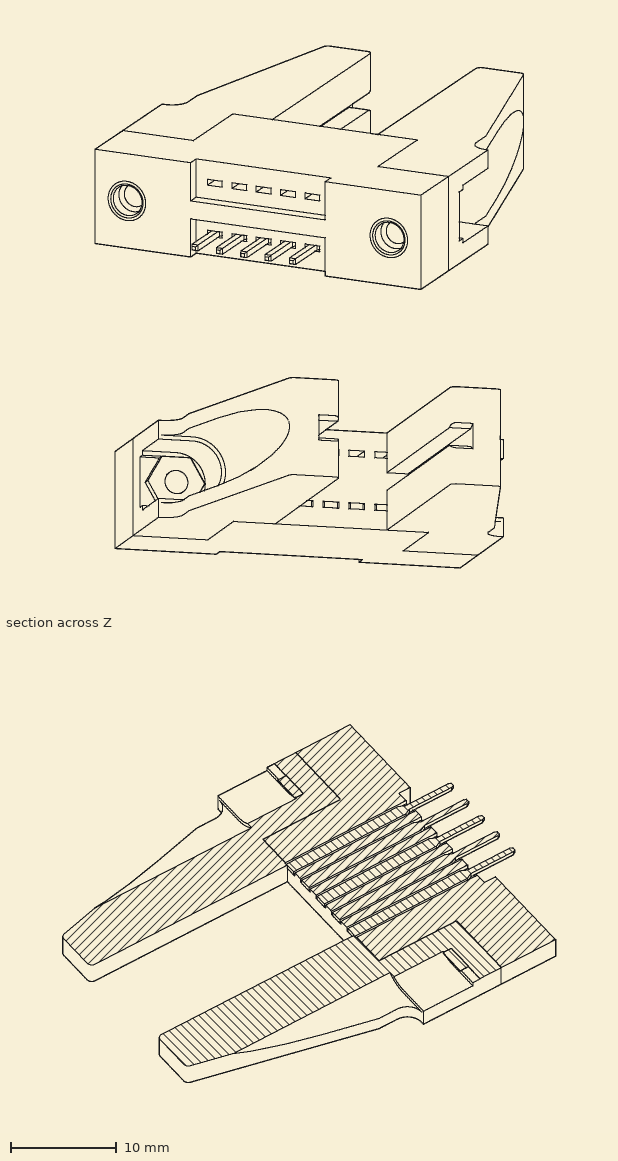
import cadquery as cq
import math


width = 33.95
height = 9.4
total_length = 41.6
pin_length = 3.5
guide_tip = total_length - pin_length
outer_x = width / 2

base_depth = 6.3
shoulder = 15.3
stem_half = 9.6
recess_width = 14.0
recess_depth = 1.3
bar_height = 1.8

contact_count = 5
pitch = 2.55
row_offset = 2.55
slot_width = 1.55
slot_height = 0.6
pin_width = 0.62
pin_tip_length = 0.3
pin_tip_inset = 0.12
taper_setback = 0.4
taper_length = 0.62
blade_width = 1.25

arm_inner = 5.5
arm_outer = 15.0
taper_start = 19.1
tip_outer = 10.3
root_radius = 1.65
tip_radius = 0.55
groove_height = 1.7
groove_depth = 2.08
flare_length = 0.75
flare_height = 0.37

screw_x = 13.65
scoop_width = 6.53
nut_clearance_width = 5.75
clearance_floor = 9.6
nut_flats = 4.85
nut_thickness = 0.95
nut_seat = 8.77
sleeve_diameter = 3.9
bore_diameter = 2.25
counterbore_diameter = 3.0
mouth_diameter = 3.35
mouth_depth = 0.15
counterbore_depth = 1.45
neck_length = 0.4

nut_corners = nut_flats / math.cos(math.pi / 6)


def box(x_range, y_range, z_range):
    """Box between two X, two Y and two Z limits, each pair in any order."""
    spans = [sorted(limits) for limits in (x_range, y_range, z_range)]
    sizes = [high - low for low, high in spans]
    corner = [low for low, high in spans]
    return cq.Workplane("XY").box(*sizes, centered=False).translate(tuple(corner))


def section_at(y, x=0, z=0):
    """Sketch plane facing +Y, with local X along the part's Z and local Y along its X."""
    return cq.Workplane(cq.Plane(origin=(x, y, z), xDir=(0, 0, 1), normal=(0, 1, 0)))


def cylinder(x, y_start, y_end, diameter):
    return section_at(y_start, x).circle(diameter / 2).extrude(y_end - y_start)


def cone(x, y_start, y_end, start_diameter, end_diameter):
    return (
        section_at(y_start, x).circle(start_diameter / 2)
        .workplane(offset=y_end - y_start).circle(end_diameter / 2)
        .loft(ruled=True)
    )


def hexagon(x, y_start, y_end):
    """Hexagonal prism with two flats level and two corners pointing along X."""
    corner_plane = section_at(y_start, x).transformed(rotate=(0, 0, 90))
    return corner_plane.polygon(6, nut_corners).extrude(y_end - y_start)


contact_positions = [(i - (contact_count - 1) / 2) * pitch for i in range(contact_count)]


def make_housing():
    half_height = height / 2
    full_height = (-half_height, half_height)
    body = box((-outer_x, outer_x), (0, base_depth), full_height)
    body = body.union(box((-stem_half, stem_half), (base_depth, shoulder), full_height))

    for level in (-1, 1):
        recess_x = (-recess_width / 2, recess_width / 2)
        body = body.cut(box(recess_x, (0, recess_depth), (level * bar_height / 2, level * half_height)))
        for x in contact_positions:
            slot = section_at(recess_depth, x, level * row_offset).rect(slot_height, slot_width)
            body = body.cut(slot.extrude(shoulder - recess_depth))

    for side in (-1, 1):
        body = body.cut(cylinder(side * screw_x, 0, base_depth, sleeve_diameter))
    return body


def make_guide(side):
    """Guide on the -X (side = -1) or +X (side = 1) end of the housing."""
    half_height = height / 2

    round_center_x = arm_outer + root_radius
    round_center_y = shoulder + root_radius
    diagonal = root_radius * math.sqrt(0.5)
    arm = (
        cq.Workplane("XY").workplane(offset=-half_height)
        .moveTo(side * arm_inner, shoulder)
        .lineTo(side * arm_inner, guide_tip)
        .lineTo(side * tip_outer, guide_tip)
        .lineTo(side * arm_outer, taper_start)
        .lineTo(side * arm_outer, round_center_y)
        .threePointArc(
            (side * (round_center_x - diagonal), round_center_y - diagonal),
            (side * round_center_x, shoulder),
        )
        .close().extrude(height)
        .edges("|Z and >Y").fillet(tip_radius)
    )
    foot = box((side * stem_half, side * outer_x), (base_depth, shoulder), (-half_height, half_height))
    body = arm.union(foot)

    half_groove = groove_height / 2
    flared = half_groove + flare_height
    flare_start = guide_tip - flare_length
    groove = (
        cq.Workplane("YZ").workplane(offset=side * arm_inner)
        .polyline([
            (shoulder, -half_groove), (flare_start, -half_groove), (guide_tip, -flared),
            (guide_tip, flared), (flare_start, half_groove), (shoulder, half_groove),
        ])
        .close().extrude(side * groove_depth)
    )
    body = body.cut(groove)

    x = side * screw_x
    for channel_width, y_start, y_end in (
        (scoop_width, shoulder, guide_tip),
        (nut_clearance_width, clearance_floor, shoulder),
    ):
        radius = channel_width / 2
        body = body.cut(cylinder(x, y_start, y_end, channel_width))
        body = body.cut(box((x, side * outer_x), (y_start, y_end), (-radius, radius)))

    half_flats = nut_flats / 2
    body = body.cut(hexagon(x, nut_seat, clearance_floor))
    body = body.cut(box((x, side * outer_x), (nut_seat, clearance_floor), (-half_flats, half_flats)))
    return body.cut(cylinder(x, base_depth, nut_seat, sleeve_diameter))


def make_insert(side):
    """Hex-headed sleeve, flush with the mounting face, with a chamfered counterbore."""
    x = side * screw_x
    head_top = nut_seat + nut_thickness
    body = cylinder(x, 0, nut_seat, sleeve_diameter).union(hexagon(x, nut_seat, head_top))
    body = body.cut(cylinder(x, 0, head_top, bore_diameter))
    body = body.cut(cylinder(x, 0, counterbore_depth, counterbore_diameter))
    body = body.cut(cone(x, 0, mouth_depth, mouth_diameter, counterbore_diameter))
    neck_end = counterbore_depth + neck_length
    return body.cut(cone(x, counterbore_depth, neck_end, counterbore_diameter, bore_diameter))


def make_contact(x):
    """Straight pin that widens inside its slot into a flat blade as thick as the slot."""
    taper_front = recess_depth + taper_setback
    blade_front = taper_front + taper_length
    half_pin = pin_width / 2
    half_blade = blade_width / 2

    shank_front = pin_tip_length - pin_length
    end_width = pin_width - 2 * pin_tip_inset
    end_height = slot_height - 2 * pin_tip_inset
    tip = (
        section_at(-pin_length, x, -row_offset).rect(end_height, end_width)
        .workplane(offset=pin_tip_length).rect(slot_height, pin_width)
        .loft(ruled=True)
    )
    blade = (
        cq.Workplane("XY").workplane(offset=-row_offset - slot_height / 2)
        .polyline([
            (x - half_pin, shank_front), (x + half_pin, shank_front),
            (x + half_pin, taper_front), (x + half_blade, blade_front),
            (x + half_blade, shoulder), (x - half_blade, shoulder),
            (x - half_blade, blade_front), (x - half_pin, taper_front),
        ])
        .close().extrude(slot_height)
    )
    return blade.union(tip)


housing = make_housing()
guides = [make_guide(side) for side in (-1, 1)]
inserts = [make_insert(side) for side in (-1, 1)]
contacts = [make_contact(x) for x in contact_positions]

result = cq.Compound.makeCompound(
    [housing.val()]
    + [guide.val() for guide in guides]
    + [insert.val() for insert in inserts]
    + [contact.val() for contact in contacts]
)